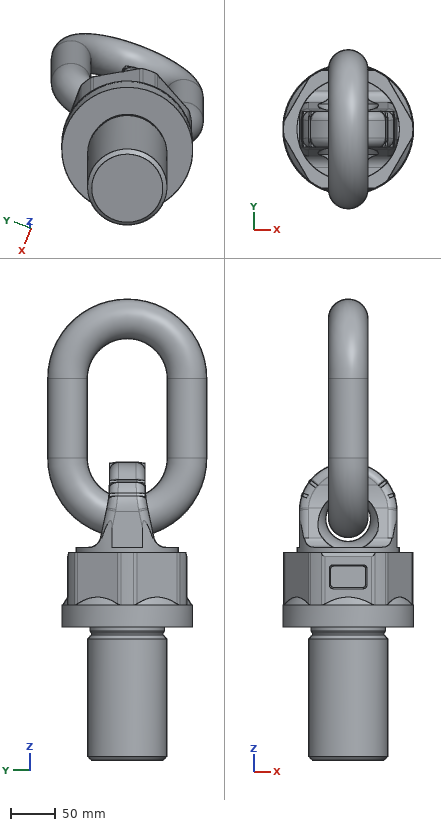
import cadquery as cq
import math

TOTAL_HEIGHT = 522.0

LINK_WIDTH = 180.0
BAR_DIAMETER = 45.0
LINK_STRAIGHT = 90.0
BAR_RADIUS = BAR_DIAMETER / 2
BEND_RADIUS = (LINK_WIDTH - BAR_DIAMETER) / 2
UPPER_BEND_Z = TOTAL_HEIGHT - LINK_WIDTH / 2
LOWER_BEND_Z = UPPER_BEND_Z - LINK_STRAIGHT

SHANK_RADIUS = 45.0
SHANK_TOP_Z = 137.0
TIP_CHAMFER = 4.5
GROOVE_RADIUS = 40.5
GROOVE_BOTTOM_Z = 142.0
GROOVE_TOP_Z = 144.0
NECK_RADIUS = 42.5
NECK_BOTTOM_Z = 146.5
FLANGE_RADIUS = 74.0
FLANGE_BOTTOM_Z = 151.0
FLANGE_TOP_Z = 176.0
HEX_TOP_Z = 235.5
HEX_ACROSS_FLATS = 134.5
HEX_CORNER_RADIUS = 73.0
HEX_EDGE_ROUND = 9.5
HEX_BEVEL_DEPTH = 1.0
HEX_BEVEL_HEIGHT = 4.5
FOOT_RISE = 9.0
FLAT_Y = HEX_ACROSS_FLATS / 2

LABEL_WIDTH = 43.0
LABEL_HEIGHT = 27.0
LABEL_Z = 207.5
LABEL_CORNER = 4.5
LABEL_DEPTH = 1.5
LABEL_WALL_SLOPE = 45

DISC_RADIUS = 58.0
DISC_TOP_Z = 241.0
CROWN_RADIUS = 55.5
CROWN_TOP_Z = 337.0
BLADE_HALF_THICKNESS = 20.5
BLADE_UPRIGHT_Z = 311.5
FLARE_RADIUS = 125.0
FACE_SLOPE = math.radians(12)
ROOT_RADIUS = 13.5
BLADE_EDGE_ROUND = 10.5
RIB_ANGLES = (20, 38, 90, 142, 160)
RIB_WIDTH = 3.5
RIB_BEVEL_WIDTH = 10.0
RIB_BEVEL_DROP = 1.5
RIB_RISE = 0.5
RIB_ROOT_RADIUS = 43.0
EYE_HOLE_Z = 273.0
EYE_HOLE_RADIUS = 25.0
EYE_MOUTH_RADIUS = 36.0
EYE_HOLE_FLARE = 43.0

SLOPE_TOP_Y = BLADE_HALF_THICKNESS + FLARE_RADIUS * (1 - math.cos(FACE_SLOPE))
SLOPE_TOP_Z = BLADE_UPRIGHT_Z - FLARE_RADIUS * math.sin(FACE_SLOPE)
BEND_MIDDLE_Y = BLADE_HALF_THICKNESS + FLARE_RADIUS * (1 - math.cos(FACE_SLOPE / 2))
BEND_MIDDLE_Z = BLADE_UPRIGHT_Z - FLARE_RADIUS * math.sin(FACE_SLOPE / 2)
CROWN_CENTER_Z = CROWN_TOP_Z - CROWN_RADIUS


def make_link():
    """Bar swept round an oblong path."""
    path = (
        cq.Workplane("YZ")
        .moveTo(BEND_RADIUS, LOWER_BEND_Z)
        .lineTo(BEND_RADIUS, UPPER_BEND_Z)
        .threePointArc((0, UPPER_BEND_Z + BEND_RADIUS), (-BEND_RADIUS, UPPER_BEND_Z))
        .lineTo(-BEND_RADIUS, LOWER_BEND_Z)
        .threePointArc((0, LOWER_BEND_Z - BEND_RADIUS), (BEND_RADIUS, LOWER_BEND_Z))
        .close()
    )
    bar = cq.Workplane("XY", origin=(0, BEND_RADIUS, LOWER_BEND_Z)).circle(BAR_RADIUS)
    return bar.sweep(path)


def cylinder(radius, bottom_z, top_z):
    return cq.Workplane("XY").workplane(offset=bottom_z).circle(radius).extrude(top_z - bottom_z)


def make_hexagon():
    """Hexagon with flats facing +Y and -Y, corners turned round and blended."""
    across_corners = HEX_ACROSS_FLATS / math.cos(math.radians(30))
    height = HEX_TOP_Z - FLANGE_TOP_Z
    hexagon = cq.Workplane("XY").workplane(offset=FLANGE_TOP_Z).polygon(6, across_corners).extrude(height)
    hexagon = hexagon.intersect(cylinder(HEX_CORNER_RADIUS, FLANGE_TOP_Z, HEX_TOP_Z))
    hexagon = hexagon.edges("|Z").fillet(HEX_EDGE_ROUND)
    bevel_y = FLAT_Y - HEX_BEVEL_DEPTH
    bevel_z = HEX_TOP_Z - HEX_BEVEL_HEIGHT
    bevel_limit = (
        cq.Workplane("YZ")
        .polyline([
            (-FLAT_Y, FLANGE_TOP_Z),
            (FLAT_Y, FLANGE_TOP_Z),
            (FLAT_Y, bevel_z),
            (bevel_y, HEX_TOP_Z),
            (-bevel_y, HEX_TOP_Z),
            (-FLAT_Y, bevel_z),
        ])
        .close()
        .extrude(FLANGE_RADIUS, both=True)
    )
    return hexagon.intersect(bevel_limit)


def make_bolt():
    """Turned shank, neck and flange with the hexagon on top and the label recess cut in."""
    turned_profile = [
        (0, 0),
        (SHANK_RADIUS - TIP_CHAMFER, 0),
        (SHANK_RADIUS, TIP_CHAMFER),
        (SHANK_RADIUS, SHANK_TOP_Z),
        (GROOVE_RADIUS, GROOVE_BOTTOM_Z),
        (GROOVE_RADIUS, GROOVE_TOP_Z),
        (NECK_RADIUS, NECK_BOTTOM_Z),
        (NECK_RADIUS, FLANGE_BOTTOM_Z),
        (FLANGE_RADIUS, FLANGE_BOTTOM_Z),
        (FLANGE_RADIUS, FLANGE_TOP_Z),
        (HEX_CORNER_RADIUS, FLANGE_TOP_Z),
        (FLAT_Y, FLANGE_TOP_Z + FOOT_RISE),
        (0, FLANGE_TOP_Z + FOOT_RISE),
    ]
    turned = cq.Workplane("XZ").polyline(turned_profile).close().revolve(360, (0, 0), (0, 1))
    label = (
        cq.Workplane("XZ", origin=(0, -FLAT_Y, LABEL_Z))
        .sketch()
        .rect(LABEL_WIDTH, LABEL_HEIGHT)
        .vertices()
        .fillet(LABEL_CORNER)
        .finalize()
        .extrude(-LABEL_DEPTH, taper=LABEL_WALL_SLOPE)
    )
    return turned.union(make_hexagon()).cut(label)


def face_y(z):
    """Half thickness of the blade on its sloping part at height z."""
    return SLOPE_TOP_Y + (SLOPE_TOP_Z - z) * math.tan(FACE_SLOPE)


def make_blade():
    """Blade that thickens downwards, cut to the round-topped outline of the eye."""
    foot_y = face_y(HEX_TOP_Z)
    blade = (
        cq.Workplane("YZ")
        .moveTo(BLADE_HALF_THICKNESS, CROWN_TOP_Z)
        .lineTo(BLADE_HALF_THICKNESS, BLADE_UPRIGHT_Z)
        .threePointArc((BEND_MIDDLE_Y, BEND_MIDDLE_Z), (SLOPE_TOP_Y, SLOPE_TOP_Z))
        .lineTo(foot_y, HEX_TOP_Z)
        .lineTo(-foot_y, HEX_TOP_Z)
        .lineTo(-SLOPE_TOP_Y, SLOPE_TOP_Z)
        .threePointArc((-BEND_MIDDLE_Y, BEND_MIDDLE_Z), (-BLADE_HALF_THICKNESS, BLADE_UPRIGHT_Z))
        .lineTo(-BLADE_HALF_THICKNESS, CROWN_TOP_Z)
        .close()
        .extrude(CROWN_RADIUS, both=True)
    )
    outline = (
        cq.Workplane("XZ")
        .moveTo(-CROWN_RADIUS, HEX_TOP_Z)
        .lineTo(-CROWN_RADIUS, CROWN_CENTER_Z)
        .threePointArc((0, CROWN_TOP_Z), (CROWN_RADIUS, CROWN_CENTER_Z))
        .lineTo(CROWN_RADIUS, HEX_TOP_Z)
        .close()
        .extrude(DISC_RADIUS, both=True)
    )
    return blade.intersect(outline)


def round_blade(blade):
    """Blade with its long outer edges rounded."""
    above_disc = cq.selectors.BoxSelector(
        (-DISC_RADIUS, -DISC_RADIUS, DISC_TOP_Z), (DISC_RADIUS, DISC_RADIUS, TOTAL_HEIGHT)
    )
    return blade.edges(above_disc).edges("(not |X) and (not |Y)").fillet(BLADE_EDGE_ROUND)


def make_ribs():
    """Narrow square-edged ribs across the crown, bevelled slightly towards each face."""
    flat_half_width = BLADE_HALF_THICKNESS - RIB_BEVEL_WIDTH
    rib_radius = CROWN_RADIUS + RIB_RISE
    bevel_radius = rib_radius - RIB_BEVEL_DROP
    rib = (
        cq.Workplane("XY", origin=(0, 0, CROWN_CENTER_Z))
        .polyline([
            (RIB_ROOT_RADIUS, -BLADE_HALF_THICKNESS),
            (bevel_radius, -BLADE_HALF_THICKNESS),
            (rib_radius, -flat_half_width),
            (rib_radius, flat_half_width),
            (bevel_radius, BLADE_HALF_THICKNESS),
            (RIB_ROOT_RADIUS, BLADE_HALF_THICKNESS),
        ])
        .close()
        .extrude(RIB_WIDTH / 2, both=True)
    )
    return [
        rib.rotate((0, 0, CROWN_CENTER_Z), (0, 1, CROWN_CENTER_Z), -angle)
        for angle in RIB_ANGLES
    ]


def make_root():
    """Hollow-sided root that carries the blade on the disc."""
    root_outer_y = face_y(DISC_TOP_Z) + ROOT_RADIUS * math.tan((math.pi / 2 - FACE_SLOPE) / 2)
    root_center_z = DISC_TOP_Z + ROOT_RADIUS
    tangent_y = root_outer_y - ROOT_RADIUS * math.cos(FACE_SLOPE)
    tangent_z = root_center_z - ROOT_RADIUS * math.sin(FACE_SLOPE)
    middle_angle = (math.pi / 2 + FACE_SLOPE) / 2
    middle_y = root_outer_y - ROOT_RADIUS * math.cos(middle_angle)
    middle_z = root_center_z - ROOT_RADIUS * math.sin(middle_angle)
    return (
        cq.Workplane("YZ")
        .moveTo(root_outer_y, DISC_TOP_Z)
        .threePointArc((middle_y, middle_z), (tangent_y, tangent_z))
        .lineTo(-tangent_y, tangent_z)
        .threePointArc((-middle_y, middle_z), (-root_outer_y, DISC_TOP_Z))
        .close()
        .extrude(CROWN_RADIUS, both=True)
    )


def make_eye_hole():
    """Waisted hole along Y whose wall is rounded to let the link swing."""
    flare_reach = math.sqrt(EYE_HOLE_FLARE**2 - (EYE_HOLE_FLARE + EYE_HOLE_RADIUS - EYE_MOUTH_RADIUS) ** 2)
    return (
        cq.Workplane("XY", origin=(0, 0, EYE_HOLE_Z))
        .moveTo(0, -DISC_RADIUS)
        .lineTo(EYE_MOUTH_RADIUS, -DISC_RADIUS)
        .lineTo(EYE_MOUTH_RADIUS, -flare_reach)
        .threePointArc((EYE_HOLE_RADIUS, 0), (EYE_MOUTH_RADIUS, flare_reach))
        .lineTo(EYE_MOUTH_RADIUS, DISC_RADIUS)
        .lineTo(0, DISC_RADIUS)
        .close()
        .revolve(360, (0, 0), (0, 1))
    )


def make_eye():
    """Rounded and ribbed blade with its hole, on a plain disc resting on the hexagon."""
    eye = round_blade(make_blade()).union(make_root())
    for rib in make_ribs():
        eye = eye.union(rib)
    eye = eye.cut(make_eye_hole())
    eye = eye.intersect(cylinder(DISC_RADIUS, HEX_TOP_Z, CROWN_TOP_Z + RIB_RISE))
    return eye.union(cylinder(DISC_RADIUS, HEX_TOP_Z, DISC_TOP_Z))


link = make_link()
bolt = make_bolt()
eye = make_eye()

result = cq.Compound.makeCompound([link.solids().val(), bolt.solids().val(), eye.solids().val()])